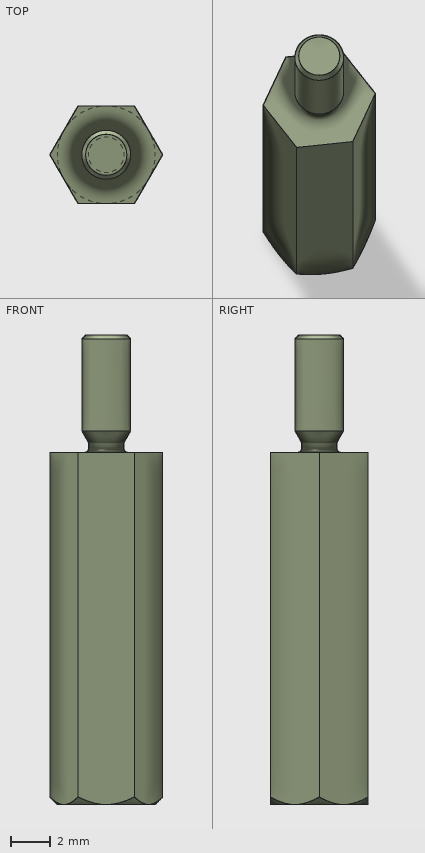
import cadquery as cq
import math

ACROSS_FLATS = 5.0
BODY_LENGTH = 18.0
BASE_CHAMFER_ANGLE = 45.0

STUD_DIAMETER = 2.5
STUD_LENGTH = 6.0
TIP_DIAMETER = 2.1
TIP_CHAMFER_ANGLE = 45.0

NECK_DIAMETER = 1.81
UNDERCUT_LENGTH = 1.1
UNDERCUT_CONE_ANGLE = 30.0
UNDERCUT_FILLET_RADIUS = 0.2

ACROSS_CORNERS = ACROSS_FLATS / math.cos(math.radians(30))


def slope(angle):
    return math.tan(math.radians(angle))


def hexagonal_body():
    """Hexagonal bar, its lower corners turned to a cone that starts at the across-flats circle."""
    bar = cq.Workplane("XY").polygon(6, ACROSS_CORNERS).extrude(BODY_LENGTH)

    base_radius = ACROSS_FLATS / 2
    corner_radius = ACROSS_CORNERS / 2
    chamfer_height = (corner_radius - base_radius) * slope(BASE_CHAMFER_ANGLE)
    turned_envelope = (
        cq.Workplane("XZ")
        .lineTo(base_radius, 0)
        .lineTo(corner_radius, chamfer_height)
        .lineTo(corner_radius, BODY_LENGTH)
        .lineTo(0, BODY_LENGTH)
        .close()
        .revolve(360, (0, 0, 0), (0, 1, 0))
    )
    return bar.intersect(turned_envelope)


def stud():
    """Turned stud: filleted root, narrow neck, cone, shank and chamfered tip."""
    stud_radius = STUD_DIAMETER / 2
    tip_radius = TIP_DIAMETER / 2
    neck_radius = NECK_DIAMETER / 2

    top = BODY_LENGTH + STUD_LENGTH
    shank_top = top - (stud_radius - tip_radius) * slope(TIP_CHAMFER_ANGLE)
    shank_bottom = BODY_LENGTH + UNDERCUT_LENGTH
    cone_bottom = shank_bottom - (stud_radius - neck_radius) / slope(UNDERCUT_CONE_ANGLE)

    cone_angle = math.radians(UNDERCUT_CONE_ANGLE)
    blend_length = UNDERCUT_FILLET_RADIUS * math.tan(cone_angle / 2)

    fillet_top = BODY_LENGTH + UNDERCUT_FILLET_RADIUS
    fillet_inset = UNDERCUT_FILLET_RADIUS * (1 - math.cos(math.radians(45)))

    return (
        cq.Workplane("XZ")
        .moveTo(0, BODY_LENGTH)
        .lineTo(neck_radius + UNDERCUT_FILLET_RADIUS, BODY_LENGTH)
        .threePointArc(
            (neck_radius + fillet_inset, BODY_LENGTH + fillet_inset),
            (neck_radius, fillet_top),
        )
        .lineTo(neck_radius, cone_bottom - blend_length)
        .tangentArcPoint(
            (
                neck_radius + blend_length * math.sin(cone_angle),
                cone_bottom + blend_length * math.cos(cone_angle),
            ),
            relative=False,
        )
        .lineTo(stud_radius, shank_bottom)
        .lineTo(stud_radius, shank_top)
        .lineTo(tip_radius, top)
        .lineTo(0, top)
        .close()
        .revolve(360, (0, 0, 0), (0, 1, 0))
    )


result = hexagonal_body().union(stud())